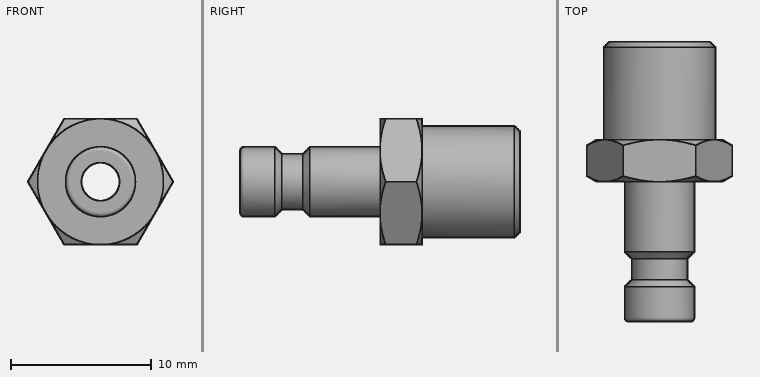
import cadquery as cq
import math

total_length = 20.0
hex_start = 10.0
hex_end = 13.0
groove_start = 2.5
groove_end = 5.0
groove_taper = 0.5

stem_diameter = 5.0
groove_diameter = 4.0
body_diameter = 8.0
bore_diameter = 2.7
hex_across_flats = 9.0

tip_fillet = 0.3
body_chamfer = 0.4
hex_chamfer_angle = 30.0

hex_across_corners = hex_across_flats / math.cos(math.radians(30))


def cylinder(diameter, start, end):
    """Solid cylinder on the Y axis between two axial positions."""
    plane = cq.Workplane("XZ", origin=(0, start, 0))
    return plane.circle(diameter / 2).extrude(start - end)


def revolve_profile(points):
    """Revolve a closed (radius, y) outline about the Y axis."""
    return cq.Workplane("XY").polyline(points).close().revolve(360, (0, 0, 0), (0, 1, 0))


def make_stem():
    """Plug stem with a rounded tip and a tapered locking groove."""
    outer = stem_diameter / 2
    inner = groove_diameter / 2
    stem = revolve_profile([
        (0, 0),
        (outer, 0),
        (outer, groove_start),
        (inner, groove_start + groove_taper),
        (inner, groove_end - groove_taper),
        (outer, groove_end),
        (outer, hex_start),
        (0, hex_start),
    ])
    return stem.faces("<Y").edges().fillet(tip_fillet)


def make_hex():
    """Hexagonal collar, corners on X, with both ends turned to a cone."""
    prism = (
        cq.Workplane("XZ", origin=(0, hex_start, 0))
        .polygon(6, hex_across_corners)
        .extrude(hex_start - hex_end)
    )
    face_radius = hex_across_flats / 2
    corner_radius = hex_across_corners / 2
    drop = (corner_radius - face_radius) * math.tan(math.radians(hex_chamfer_angle))
    envelope = revolve_profile([
        (0, hex_start),
        (face_radius, hex_start),
        (corner_radius, hex_start + drop),
        (corner_radius, hex_end - drop),
        (face_radius, hex_end),
        (0, hex_end),
    ])
    return prism.intersect(envelope)


def make_body():
    """Large cylindrical end with a chamfered rim."""
    body = cylinder(body_diameter, hex_end, total_length)
    return body.faces(">Y").edges().chamfer(body_chamfer)


bore = cylinder(bore_diameter, 0, total_length)
fitting = make_stem().union(make_hex()).union(make_body()).cut(bore)

result = fitting.translate((0, -total_length / 2, 0))